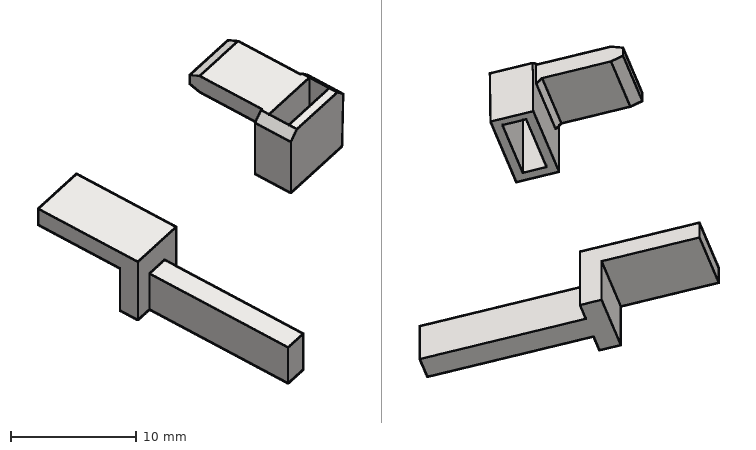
import cadquery as cq

overall_length_y = 25.95
height = 6.5
tab_width = 5.05
tab_thickness = 1.82

plug_length = 24.0
bracket_length = 10.05
bracket_wall = 1.82
blade_width = 2.0
blade_height = 4.02

socket_front_x = 7.3
socket_wall = 0.8
slot_length = 2.0
socket_width = 6.93
socket_bevel = 0.8
side_draft = 0.15
tab_top_bevel_length = 1.0
tab_top_bevel_height = 0.5
tab_bottom_bevel_length = tab_top_bevel_length
tab_bottom_bevel_height = 0.35
gusset = 0.5

plug_center_y = tab_width / 2
socket_center_y = overall_length_y - socket_width / 2
socket_length = slot_length + 2 * socket_wall
tab_bottom_z = height - tab_thickness


def make_plug():
    """Bracket with an overhanging tab, and a narrower blade on the floor behind it."""
    bracket = (
        cq.Workplane("XZ", origin=(0, plug_center_y, 0))
        .moveTo(0, height)
        .lineTo(bracket_length, height)
        .lineTo(bracket_length, 0)
        .lineTo(bracket_length - bracket_wall, 0)
        .lineTo(bracket_length - bracket_wall, tab_bottom_z)
        .lineTo(0, tab_bottom_z)
        .close()
        .extrude(tab_width / 2, both=True)
    )
    blade = cq.Workplane("XY").box(
        plug_length - bracket_length, blade_width, blade_height, centered=(False, True, False)
    ).translate((bracket_length, plug_center_y, 0))
    return bracket.union(blade)


def make_socket_tube():
    """Beveled tube, open top and bottom; its +Y side leans in toward the floor."""
    half_width = socket_width / 2
    shoulder_z = height - socket_bevel
    shell = (
        cq.Workplane("YZ", origin=(socket_front_x, socket_center_y, 0))
        .moveTo(-half_width, 0)
        .lineTo(-half_width, shoulder_z)
        .lineTo(-half_width + socket_bevel, height)
        .lineTo(half_width - socket_bevel, height)
        .lineTo(half_width, shoulder_z)
        .lineTo(half_width - side_draft, 0)
        .close()
        .extrude(socket_length)
    )
    slot = cq.Workplane("XY").box(
        slot_length, socket_width - 2 * socket_wall, height, centered=(False, True, False)
    ).translate((socket_front_x + socket_wall, socket_center_y, 0))
    return shell.cut(slot)


def make_socket_tab():
    """Tab with a beveled tip and a small gusset where it meets the tube."""
    return (
        cq.Workplane("XZ", origin=(0, socket_center_y, 0))
        .moveTo(0, height - tab_top_bevel_height)
        .lineTo(tab_top_bevel_length, height)
        .lineTo(socket_front_x, height)
        .lineTo(socket_front_x, tab_bottom_z - gusset)
        .lineTo(socket_front_x - gusset, tab_bottom_z)
        .lineTo(tab_bottom_bevel_length, tab_bottom_z)
        .lineTo(0, tab_bottom_z + tab_bottom_bevel_height)
        .close()
        .extrude(tab_width / 2, both=True)
    )


plug = make_plug()
socket = make_socket_tube().union(make_socket_tab())

result = cq.Compound.makeCompound([plug.val(), socket.val()])